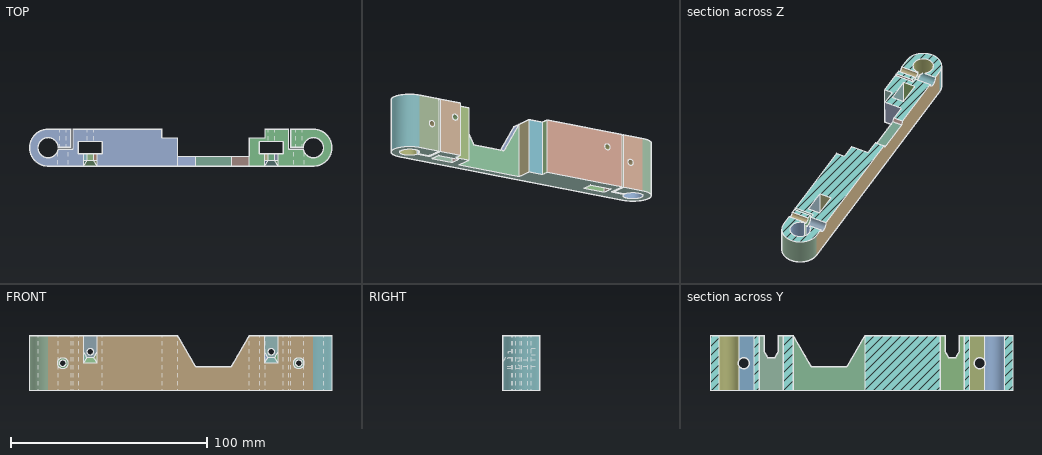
import cadquery as cq
import math

length = 154.0
depth = 19.0
height = 28.0
end_radius = depth / 2

bore_diameter = 10.2
bore_x = length / 2 - end_radius
slit_width = 1.0
relief_slit_x = 55.5
clamp_slit_y = 9.2
clamp_screw_x = 60.0
clamp_screw_z = height / 2
screw_diameter = 3.2
screw_head_diameter = 5.5

trap_x = 46.0
window_width = 12.2
window_depth = 6.2
window_front_y = 6.5
trap_screw_z = 19.9
nut_across_flats = 6.0
nut_corner_radius = nut_across_flats / math.sqrt(3)
nut_bottom_z = trap_screw_z - nut_across_flats / 2
funnel_depth = 3.0
funnel_bottom_z = height - 13.9

gap_x = 16.6
gap_half_width = 18.2
web_thickness = 5.1
step_half_width = 26.2
step_y = 14.5
notch_bottom_half_width = 9.1
notch_depth = 15.7


def upright_block(x_min, x_max, y_min, y_max):
    """Full-height block between the given plan limits."""
    corner = cq.Workplane("XY", origin=(x_min, y_min, 0))
    return corner.box(x_max - x_min, y_max - y_min, height, centered=False)


def hole_along_y(x, z, diameter, y_start, y_end):
    circle = cq.Workplane("XZ", origin=(x, y_start, z)).circle(diameter / 2)
    return circle.extrude(y_start - y_end)


def polyhedron(faces):
    """Solid bounded by flat faces, each given as a list of corner points."""
    flat_faces = [
        cq.Face.makeFromWires(cq.Wire.makePolygon([cq.Vector(*p) for p in face], close=True))
        for face in faces
    ]
    return cq.Workplane(cq.Solid.makeSolid(cq.Shell.makeShell(flat_faces)))


def clamp_cutter():
    """Bore, L-shaped slit and screw hole of the right-hand clamp."""
    bore = cq.Workplane("XY").center(bore_x, depth / 2).circle(bore_diameter / 2).extrude(height)
    half_slit = slit_width / 2
    slit_left = relief_slit_x - half_slit
    slit_bottom = clamp_slit_y - half_slit
    relief_slit = upright_block(slit_left, slit_left + slit_width, slit_bottom, depth)
    clamp_slit = upright_block(slit_left, bore_x, slit_bottom, slit_bottom + slit_width)
    screw = hole_along_y(clamp_screw_x, clamp_screw_z, screw_diameter, 0, depth)
    head = hole_along_y(clamp_screw_x, clamp_screw_z, screw_head_diameter, 0, clamp_slit_y)
    return bore.union(relief_slit).union(clamp_slit).union(screw).union(head)


def nut_trap_cutter():
    """Window, hexagonal nut seat open to the top, its funnel mouth and the screw hole."""
    window = upright_block(
        trap_x - window_width / 2, trap_x + window_width / 2,
        window_front_y, window_front_y + window_depth,
    )
    left = trap_x - nut_corner_radius
    right = trap_x + nut_corner_radius
    seat_left = trap_x - nut_corner_radius / 2
    seat_right = trap_x + nut_corner_radius / 2
    seat_outline = [
        (left, height), (left, trap_screw_z), (seat_left, nut_bottom_z),
        (seat_right, nut_bottom_z), (right, trap_screw_z), (right, height),
    ]
    seat = cq.Workplane("XZ").polyline(seat_outline).close().extrude(-window_front_y)

    mouth_outline = [
        (left, height), (left, funnel_bottom_z), (right, funnel_bottom_z), (right, height),
    ]
    mouth_points = [(x, 0, z) for x, z in mouth_outline]
    inner_points = [(x, funnel_depth, z) for x, z in seat_outline]
    mouth_top_left, mouth_left, mouth_right, mouth_top_right = mouth_points
    top_left, corner_left, bottom_left, bottom_right, corner_right, top_right = inner_points
    funnel = polyhedron([
        mouth_points,
        inner_points,
        [mouth_top_left, mouth_top_right, top_right, top_left],
        [mouth_top_left, mouth_left, corner_left, top_left],
        [mouth_top_right, mouth_right, corner_right, top_right],
        [mouth_left, corner_left, bottom_left],
        [mouth_right, corner_right, bottom_right],
        [mouth_left, mouth_right, bottom_right, bottom_left],
    ])
    screw = hole_along_y(trap_x, trap_screw_z, screw_diameter, 0, depth)
    return window.union(seat).union(funnel).union(screw)


def gap_cutter():
    """Stepped gap behind the web and the tapered notch through its top."""
    gap = upright_block(gap_x - gap_half_width, gap_x + gap_half_width, web_thickness, depth)
    step = upright_block(gap_x - step_half_width, gap_x + step_half_width, step_y, depth)
    notch_outline = [
        (gap_x - gap_half_width, height),
        (gap_x - notch_bottom_half_width, height - notch_depth),
        (gap_x + notch_bottom_half_width, height - notch_depth),
        (gap_x + gap_half_width, height),
    ]
    notch = cq.Workplane("XZ").polyline(notch_outline).close().extrude(-depth)
    return gap.union(step).union(notch)


body = cq.Workplane("XY").center(0, depth / 2).slot2D(length, depth).extrude(height)
end_features = clamp_cutter().union(nut_trap_cutter())
result = body.cut(end_features).cut(end_features.mirror("YZ")).cut(gap_cutter())